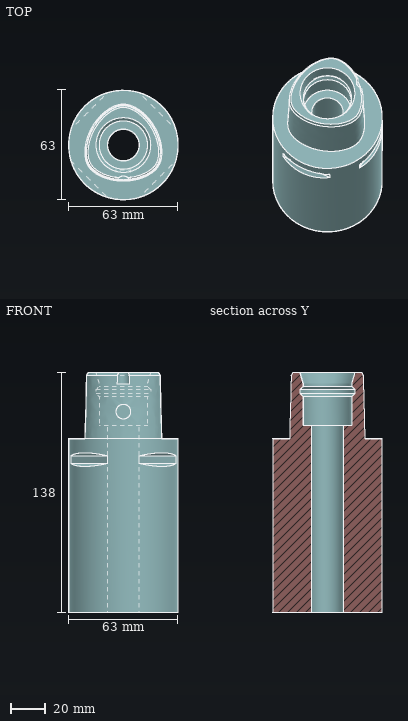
import cadquery as cq
import math

total_height = 138.0
body_diameter = 63.0
body_height = 100.0

shank_width_at_body = 44.3
lobe_eccentricity = 1.4
outline_steps = 48
diameter_taper = 1 / 20
rim_chamfer_height = 1.7
rim_chamfer_inset = 1.0

through_diameter = 18.1
bore_diameter = 27.7
bore_depth = 30.4
mouth_diameter = 31.5
mouth_depth = 6.3
groove_diameter = 31.5
groove_start_depth = 8.0
groove_end_depth = 14.0

notch_radius = 4.1
notch_axis_y = -22.0
notch_depth = 6.5
side_hole_diameter = 8.4
side_hole_depth_below_face = 22.5
side_hole_floor_y = -14.4

gripper_count = 4
first_gripper_angle = 45.0
gripper_drop = 12.1
gripper_floor_distance = 27.7
gripper_floor_height = 4.3
gripper_mouth_height = 7.9


def lobed_outline(width, z):
    """Closed outline of a constant-width polygon at height z, traced by the direction of its normal."""
    def point(angle):
        lobe_phase = 3 * (angle - math.pi / 2)
        support = width / 2 + lobe_eccentricity * math.cos(lobe_phase)
        support_slope = -3 * lobe_eccentricity * math.sin(lobe_phase)
        return cq.Vector(
            support * math.cos(angle) - support_slope * math.sin(angle),
            support * math.sin(angle) + support_slope * math.cos(angle),
            z,
        )

    angles = [2 * math.pi * step / outline_steps - math.pi / 2 for step in range(outline_steps)]
    curve = cq.Edge.makeSpline([point(angle) for angle in angles], periodic=True)
    return cq.Wire.assembleEdges([curve])


def make_shank():
    """Tapered shank topped by a narrow chamfered rim."""
    rim_base = total_height - rim_chamfer_height
    width_at_rim = shank_width_at_body - (rim_base - body_height) * diameter_taper
    width_at_face = width_at_rim - 2 * rim_chamfer_inset
    foot = lobed_outline(shank_width_at_body, body_height)
    rim = lobed_outline(width_at_rim, rim_base)
    face = lobed_outline(width_at_face, total_height)
    return cq.Workplane("XY").add([foot, rim, face]).toPending().loft(ruled=True)


def make_bore():
    """Revolved bore: tapered mouth, narrow land, bevelled groove, main bore and through hole."""
    bore_radius = bore_diameter / 2
    mouth_radius = mouth_diameter / 2
    groove_radius = groove_diameter / 2
    through_radius = through_diameter / 2
    groove_bevel = groove_radius - bore_radius
    profile = [
        (0, 0),
        (through_radius, 0),
        (through_radius, total_height - bore_depth),
        (bore_radius, total_height - bore_depth),
        (bore_radius, total_height - groove_end_depth),
        (groove_radius, total_height - groove_end_depth + groove_bevel),
        (groove_radius, total_height - groove_start_depth - groove_bevel),
        (bore_radius, total_height - groove_start_depth),
        (bore_radius, total_height - mouth_depth),
        (mouth_radius, total_height),
        (0, total_height),
    ]
    return cq.Workplane("XZ").polyline(profile).close().revolve(360, (0, 0, 0), (0, 1, 0))


def make_notch():
    """Upright round cutter for the notch in the rim."""
    return (
        cq.Workplane("XY", origin=(0, notch_axis_y, total_height - notch_depth))
        .circle(notch_radius)
        .extrude(notch_depth)
    )


def make_side_hole():
    """Flat-bottomed blind hole entering the shank from -Y."""
    length = body_diameter / 2 + side_hole_floor_y
    return (
        cq.Workplane("XZ", origin=(0, side_hole_floor_y, total_height - side_hole_depth_below_face))
        .circle(side_hole_diameter / 2)
        .extrude(length)
    )


def make_gripper_groove(angle):
    """Straight groove across the body at the given angle, with flanks that open outward."""
    body_radius = body_diameter / 2
    half_floor = gripper_floor_height / 2
    half_mouth = gripper_mouth_height / 2
    groove = (
        cq.Workplane("XZ", origin=(0, body_radius, body_height - gripper_drop))
        .moveTo(gripper_floor_distance, -half_floor)
        .lineTo(body_radius, -half_mouth)
        .lineTo(body_radius, half_mouth)
        .lineTo(gripper_floor_distance, half_floor)
        .close()
        .extrude(body_diameter)
    )
    return groove.rotate((0, 0, 0), (0, 0, 1), angle)


body = cq.Workplane("XY").circle(body_diameter / 2).extrude(body_height)
result = body.union(make_shank())
result = result.cut(make_bore()).cut(make_notch()).cut(make_side_hole())
for index in range(gripper_count):
    result = result.cut(make_gripper_groove(first_gripper_angle + index * 360 / gripper_count))